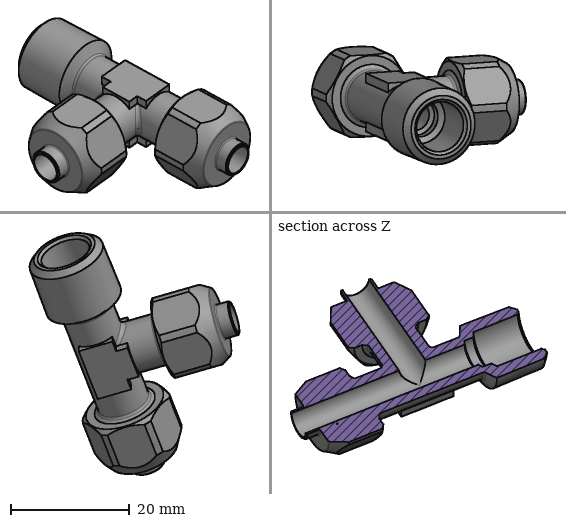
import cadquery as cq
import math


tube_radius = 4.5
bore_radius = 2.5
overall_length = 44.5
reach = 23.0
thread_end = reach - overall_length
shoulder_angle = 60
shoulder_blend = 0.5
crotch_blend = 0.7

pad_half_length = 5.0
pad_half_width = 3.0
pad_half_height = 5.0

thread_length = 10.25
thread_small_radius = 6.55
thread_large_radius = 6.68
thread_lead_length = 1.0
thread_face_radius = 5.45

socket_mouth_radius = 4.75
socket_mouth_depth = 0.5
socket_radius = 4.25
socket_depth = 8.9
socket_step_radius = 3.25
socket_step_depth = 11.12
socket_bottom_angle = 60

nut_start = 10.45
nut_end = 20.5
nut_across_flats = 14.0
nut_corner_radius = 7.75
nut_inner_face_radius = 6.9
nut_inner_chamfer = 0.65
nut_outer_face_radius = 6.0
nut_outer_angle = 30
collar_radius = 5.4

stub_radius = 3.0
stub_edge = 0.2


def cone_length(radial_step, angle):
    """Axial length of a cone with the given radial step and slope."""
    return radial_step / math.tan(math.radians(angle))


def revolve_about_x(points):
    """Solid of revolution about X from (x, radius) points, closed by the axis."""
    first_x = points[0][0]
    last_x = points[-1][0]
    profile = cq.Workplane("XY").polyline([(first_x, 0)] + points + [(last_x, 0)]).close()
    return profile.revolve(360, (0, 0, 0), (1, 0, 0))


def ring_at(x, radius):
    """Selector for the circular edges about X at one position, up to a radius."""
    margin = 0.05
    half = radius + margin
    return cq.selectors.BoxSelector((x - margin, -half, -half), (x + margin, half, half))


def to_branch(shape):
    """Turn a shape made on the +X axis onto the -Y axis."""
    return shape.rotate((0, 0, 0), (0, 0, 1), -90)


collar_start = nut_start - cone_length(collar_radius - tube_radius, shoulder_angle)
collar_profile = [(collar_start, tube_radius), (nut_start, collar_radius)]


def make_run():
    """Thread end, run tube and collar as one turned piece."""
    thread_back = thread_end + thread_length
    cone_end = thread_back + cone_length(thread_large_radius - tube_radius, shoulder_angle)
    run = revolve_about_x([
        (thread_end, thread_face_radius),
        (thread_end + thread_lead_length, thread_small_radius),
        (thread_back, thread_large_radius),
        (cone_end, tube_radius),
    ] + collar_profile)
    for x in (cone_end, collar_start):
        run = run.edges(ring_at(x, tube_radius)).fillet(shoulder_blend)
    return run


def make_branch():
    """Branch tube and collar."""
    branch = revolve_about_x([(0, tube_radius)] + collar_profile)
    branch = branch.edges(ring_at(collar_start, tube_radius)).fillet(shoulder_blend)
    return to_branch(branch)


def make_pad():
    """T-shaped prism through the crossing of the tubes."""
    width = 2 * pad_half_width
    height = 2 * pad_half_height
    bar = cq.Workplane("XY").box(2 * pad_half_length, width, height)
    stem = cq.Workplane("XY").box(width, pad_half_length, height)
    return bar.union(stem.translate((0, -pad_half_length / 2, 0)))


def make_body():
    """Solid tee body with blended crotches between the tubes."""
    body = make_run().union(make_branch()).union(make_pad())
    crotch_zone = cq.selectors.BoxSelector(
        (-pad_half_length, -pad_half_length, -pad_half_height),
        (pad_half_length, 0, pad_half_height))
    return body.edges(crotch_zone).edges("%ELLIPSE").fillet(crotch_blend)


def make_nut():
    """Hexagonal nut and stub on the +X axis, two flats facing +Z and -Z."""
    across_corners = nut_across_flats / math.cos(math.radians(30))
    start_plane = cq.Workplane("YZ").workplane(offset=nut_start)
    hexagon = start_plane.polygon(6, across_corners).extrude(nut_end - nut_start)
    outer_cone = cone_length(nut_corner_radius - nut_outer_face_radius, nut_outer_angle)
    turned = revolve_about_x([
        (nut_start, nut_inner_face_radius),
        (nut_start + nut_inner_chamfer, nut_corner_radius),
        (nut_end - outer_cone, nut_corner_radius),
        (nut_end, nut_outer_face_radius),
    ])
    stub = start_plane.circle(stub_radius).extrude(reach - nut_start)
    stub = stub.faces(">X").edges().chamfer(stub_edge)
    nut = hexagon.intersect(turned).union(stub)
    return nut.edges(ring_at(nut_end, stub_radius)).fillet(stub_edge)


def make_run_bore():
    """Through bore of the run with the two-step socket at the threaded end."""
    bottom = thread_end + socket_depth
    step_bottom = thread_end + socket_step_depth
    bottom_cone = cone_length(socket_radius - socket_step_radius, socket_bottom_angle)
    step_cone = cone_length(socket_step_radius - bore_radius, socket_bottom_angle)
    return revolve_about_x([
        (thread_end, socket_mouth_radius),
        (thread_end + socket_mouth_depth, socket_radius),
        (bottom, socket_radius),
        (bottom + bottom_cone, socket_step_radius),
        (step_bottom, socket_step_radius),
        (step_bottom + step_cone, bore_radius),
        (reach, bore_radius),
    ])


def make_branch_bore():
    """Bore from the crossing to the end of the branch stub."""
    return to_branch(revolve_about_x([(0, bore_radius), (reach, bore_radius)]))


nut = make_nut()
result = make_body().union(nut).union(to_branch(nut))
result = result.cut(make_run_bore()).cut(make_branch_bore())